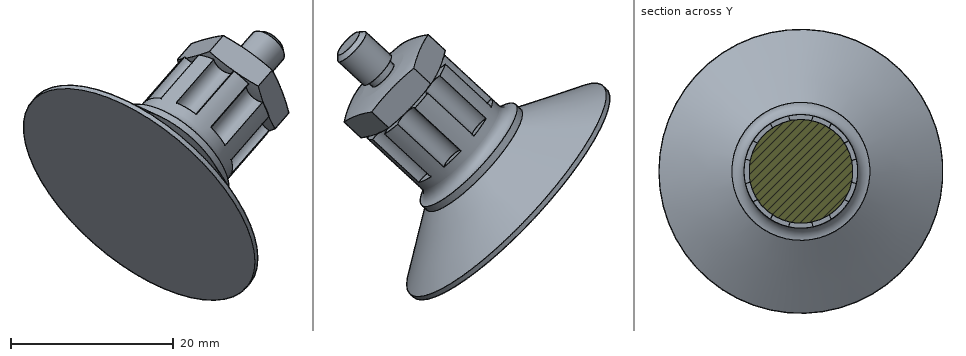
import cadquery as cq
import math


rim_top = 0.65
cone_top = 6.25
flange_top = 7.2
groove_start = 10.0
body_top = 18.0
hex_top = 22.0
neck_top = 23.0
pin_top = 28.0

rim_diameter = 35.0
flange_diameter = 17.0
body_diameter = 14.0
neck_diameter = 3.8
pin_diameter = 5.0

pin_chamfer = 0.6

groove_count = 8
groove_diameter = 3.0

hex_across_flats = 13.0
hex_corner_angle = -10.3
hex_flat_radius = 3.6
hex_crown_radius = 15.0


def cylinder(diameter, start, end):
    """Cylinder on the Y axis between two axial stations."""
    plane = cq.Plane(origin=(0, start, 0), xDir=(1, 0, 0), normal=(0, 1, 0))
    return cq.Workplane(plane).circle(diameter / 2).extrude(end - start)


def revolve_about_y(profile):
    """Full revolution of an open profile that starts and ends on the Y axis."""
    return profile.close().revolve(360, (0, 0, 0), (0, 1, 0))


def make_cup_and_body():
    """Conical cup, flange, filleted transition and cylindrical grip body."""
    rim_radius = rim_diameter / 2
    flange_radius = flange_diameter / 2
    body_radius = body_diameter / 2
    fillet_radius = flange_radius - body_radius
    fillet_top = flange_top + fillet_radius
    fillet_offset = fillet_radius * math.sqrt(0.5)
    fillet_middle = (flange_radius - fillet_offset, fillet_top - fillet_offset)
    profile = (
        cq.Workplane("XY")
        .moveTo(0, 0)
        .lineTo(rim_radius, 0)
        .lineTo(rim_radius, rim_top)
        .lineTo(flange_radius, cone_top)
        .lineTo(flange_radius, flange_top)
        .threePointArc(fillet_middle, (body_radius, fillet_top))
        .lineTo(body_radius, body_top)
        .lineTo(0, body_top)
    )
    return revolve_about_y(profile)


def cut_grooves(body):
    """Round grooves centred on the body surface, evenly spaced and open towards the hexagon."""
    cutter = cylinder(groove_diameter, groove_start, body_top).translate((body_diameter / 2, 0, 0))
    for index in range(groove_count):
        angle = index * 360 / groove_count
        body = body.cut(cutter.rotate((0, 0, 0), (0, 1, 0), angle))
    return body


def make_hexagon():
    """Hexagon whose end faces curve away towards the corners."""
    corner_diameter = hex_across_flats / math.cos(math.pi / 6)
    height = hex_top - body_top
    plane = cq.Plane(origin=(0, body_top, 0), xDir=(1, 0, 0), normal=(0, 1, 0))
    prism = cq.Workplane(plane).polygon(6, corner_diameter).extrude(height)
    prism = prism.rotate((0, 0, 0), (0, 1, 0), -hex_corner_angle)

    outer_radius = corner_diameter / 2
    reach = outer_radius - hex_flat_radius

    def crown_drop(distance):
        return hex_crown_radius - math.sqrt(hex_crown_radius**2 - distance**2)

    middle_radius = hex_flat_radius + reach / 2
    middle_drop = crown_drop(reach / 2)
    edge_drop = crown_drop(reach)
    profile = (
        cq.Workplane("XY")
        .moveTo(0, body_top)
        .lineTo(hex_flat_radius, body_top)
        .threePointArc((middle_radius, body_top + middle_drop), (outer_radius, body_top + edge_drop))
        .lineTo(outer_radius, hex_top - edge_drop)
        .threePointArc((middle_radius, hex_top - middle_drop), (hex_flat_radius, hex_top))
        .lineTo(0, hex_top)
    )
    return prism.intersect(revolve_about_y(profile))


def make_pin():
    """Neck and chamfered pin on top of the hexagon."""
    neck = cylinder(neck_diameter, hex_top, neck_top)
    pin = cylinder(pin_diameter, neck_top, pin_top).faces(">Y").chamfer(pin_chamfer)
    return neck.union(pin)


body = cut_grooves(make_cup_and_body())
result = body.union(make_hexagon()).union(make_pin())